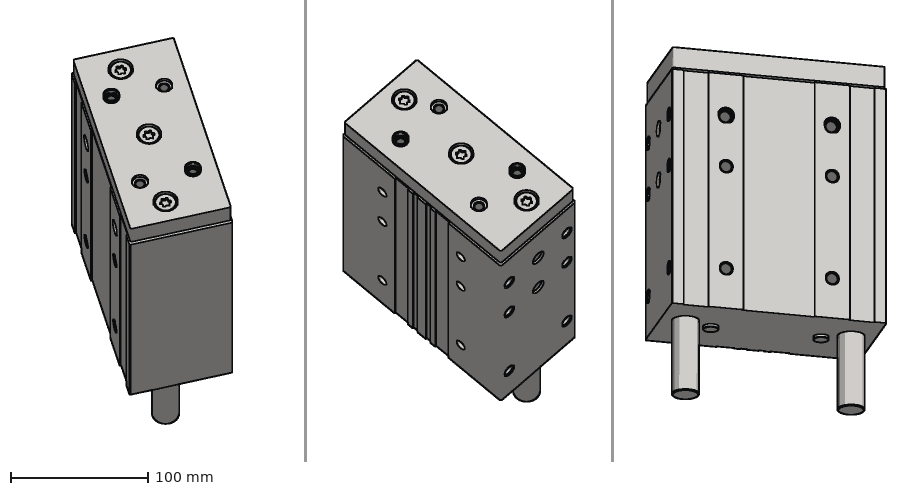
import cadquery as cq
import math


total_height = 261.3
sleeve_protrusion = 2.4
plate_thickness = 16.0
plate_gap = 1.8
rod_overhang = 58.0
plate_top = total_height - sleeve_protrusion
plate_bottom = plate_top - plate_thickness
housing_bottom = rod_overhang
housing_top = plate_bottom - plate_gap
housing_height = housing_top - housing_bottom

housing_width = 162.0
housing_depth = 78.0
housing_front = -housing_depth / 2
housing_back = housing_depth / 2
housing_left = -housing_width / 2
corner_chamfer_front = 0.8
corner_fillet_back = 1.5
groove_depth = 1.0
front_centre_groove_half = 27.0
front_rod_groove = (53.3, 71.9)
back_grooves = [(4.5, 9.0), (13.8, 27.5)]

pitch = 40.0
mount_x = pitch
top_row_drop = 32.1
top_row_z = housing_top - top_row_drop
middle_row_z = top_row_z - pitch
bottom_row_z = middle_row_z - 2 * pitch
hole_rows = [top_row_z, middle_row_z, bottom_row_z]
mount_hole_diameter = 8.4
mount_chamfer_diameter = 10.2
side_hole_y = 30.0
side_hole_depth = 19.5
drill_tip_angle = 118.0

sleeve_outer_diameter = 12.0
sleeve_inner_diameter = 10.5
sleeve_seat_depth = 2.5
sleeve_chamfer = 0.4

plate_inset = 1.0
plate_width = housing_width - 2 * plate_inset
plate_depth = housing_depth - 2 * plate_inset
plate_corner_radius = 1.3
plate_hole_x = pitch
plate_hole_y = pitch / 2
thread_diameter = 6.5
thread_chamfer_diameter = 7.8

guide_rod_diameter = 20.0
guide_rod_x = 62.5
guide_rod_y = -6.8
rod_end_chamfer = 0.8
piston_rod_diameter = 13.0
piston_rod_y = -2.4
piston_rod_insertion = housing_height / 2
guide_rod_points = [(-guide_rod_x, guide_rod_y), (guide_rod_x, guide_rod_y)]
piston_rod_point = (0, piston_rod_y)

head_pocket_diameter = 18.0
head_diameter = 16.0
head_top_diameter = 15.0
head_recess = 1.0
head_height = 6.0
socket_tip_diameter = 8.4
socket_root_diameter = 6.0
socket_depth = 2.0
socket_lobes = 6

plug_diameter = 11.5
plug_insertion = 5.2
plug_chamfer = 0.4
side_plug_recess = 2.0
bottom_plug_x = 41.5
bottom_plug_protrusion = 2.4
side_plug_rows = [top_row_z, middle_row_z]


def cylinder(diameter, length, start, direction):
    solid = cq.Solid.makeCylinder(diameter / 2, length, cq.Vector(*start), cq.Vector(*direction))
    return cq.Workplane(solid)


def cone(start_diameter, end_diameter, length, start, direction):
    radii = start_diameter / 2, end_diameter / 2
    solid = cq.Solid.makeCone(*radii, length, cq.Vector(*start), cq.Vector(*direction))
    return cq.Workplane(solid)


def offset(point, direction, distance):
    """Move a point along a direction."""
    return tuple(p + d * distance for p, d in zip(point, direction))


def chamfered_hole(diameter, chamfer_diameter, length, start, direction):
    """Hole cutter with a 45 degree entry chamfer."""
    chamfer_length = (chamfer_diameter - diameter) / 2
    entry = cone(chamfer_diameter, diameter, chamfer_length, start, direction)
    return cylinder(diameter, length, start, direction).union(entry)



def vertical_groove(x_from, x_to, face_y):
    """Cutter for a shallow groove along the full height, centred on a face of the block."""
    return (
        cq.Workplane("XY", origin=((x_from + x_to) / 2, face_y, housing_bottom))
        .rect(x_to - x_from, 2 * groove_depth)
        .extrude(housing_height)
    )


def housing_block():
    block = (
        cq.Workplane("XY", origin=(0, 0, housing_bottom))
        .rect(housing_width, housing_depth)
        .extrude(housing_height)
    )
    block = block.edges("|Z and <Y").chamfer(corner_chamfer_front)
    block = block.edges("|Z and >Y").fillet(corner_fillet_back)
    block = block.cut(vertical_groove(-front_centre_groove_half, front_centre_groove_half, housing_front))
    for side in (-1, 1):
        inner, outer = front_rod_groove
        block = block.cut(vertical_groove(*sorted((side * inner, side * outer)), housing_front))
        for inner, outer in back_grooves:
            block = block.cut(vertical_groove(*sorted((side * inner, side * outer)), housing_back))
    return block


def cut_front_holes(block):
    """Through holes from the front; the top row also has sleeve seats."""
    inward = (0, 1, 0)
    for x in (-mount_x, mount_x):
        for z in hole_rows:
            start = (x, housing_front, z)
            if z == top_row_z:
                block = block.cut(cylinder(sleeve_outer_diameter, sleeve_seat_depth, start, inward))
                start = offset(start, inward, sleeve_seat_depth)
            hole = chamfered_hole(mount_hole_diameter, mount_chamfer_diameter, housing_depth, start, inward)
            block = block.cut(hole)
    return block


def cut_side_holes(block):
    """Blind holes with drill tips on the left side."""
    inward = (1, 0, 0)
    tip_length = mount_hole_diameter / 2 / math.tan(math.radians(drill_tip_angle / 2))
    for y in (-side_hole_y, side_hole_y):
        for z in hole_rows:
            start = (housing_left, y, z)
            tip_start = offset(start, inward, side_hole_depth)
            hole = chamfered_hole(mount_hole_diameter, mount_chamfer_diameter, side_hole_depth, start, inward)
            tip = cone(mount_hole_diameter, 0, tip_length, tip_start, inward)
            block = block.cut(hole).cut(tip)
    return block


def cut_rod_bores(block):
    for x, y in guide_rod_points:
        block = block.cut(cylinder(guide_rod_diameter, housing_height, (x, y, housing_bottom), (0, 0, 1)))
    piston_start = (*piston_rod_point, housing_top)
    return block.cut(cylinder(piston_rod_diameter, piston_rod_insertion, piston_start, (0, 0, -1)))


def cut_plug_bores(block):
    for z in side_plug_rows:
        depth = side_plug_recess + plug_insertion
        block = block.cut(cylinder(plug_diameter, depth, (housing_left, 0, z), (1, 0, 0)))
    for x in (-bottom_plug_x, bottom_plug_x):
        block = block.cut(cylinder(plug_diameter, plug_insertion, (x, 0, housing_bottom), (0, 0, 1)))
    return block


def make_housing():
    block = cut_front_holes(housing_block())
    block = cut_side_holes(block)
    block = cut_rod_bores(block)
    return cut_plug_bores(block)



def yoke_plate():
    """Plate with four threaded holes, each with a sleeve seat on top."""
    plate = (
        cq.Workplane("XY", origin=(0, 0, plate_bottom))
        .rect(plate_width, plate_depth)
        .extrude(plate_thickness)
        .edges("|Z")
        .fillet(plate_corner_radius)
    )
    down = (0, 0, -1)
    for x in (-plate_hole_x, plate_hole_x):
        for y in (-plate_hole_y, plate_hole_y):
            start = (x, y, plate_top)
            thread_start = offset(start, down, sleeve_seat_depth)
            thread = chamfered_hole(thread_diameter, thread_chamfer_diameter, plate_thickness, thread_start, down)
            plate = plate.cut(cylinder(sleeve_outer_diameter, sleeve_seat_depth, start, down)).cut(thread)
    return plate


def star_socket(x, y, top):
    """Cutter for a six-lobe drive socket of alternating convex and concave arcs."""
    tip_radius = socket_tip_diameter / 2
    root_radius = socket_root_diameter / 2
    shoulder_radius = (tip_radius + root_radius) / 2
    lobe_angle = 2 * math.pi / socket_lobes
    shoulder_angle = lobe_angle / 4

    def polar(radius, angle):
        return radius * math.cos(angle), radius * math.sin(angle)

    first_tip = math.pi / 2
    star = cq.Workplane("XY", origin=(x, y, top)).moveTo(*polar(shoulder_radius, first_tip - shoulder_angle))
    for lobe in range(socket_lobes):
        tip = first_tip + lobe * lobe_angle
        root = tip + lobe_angle / 2
        star = star.threePointArc(polar(tip_radius, tip), polar(shoulder_radius, tip + shoulder_angle))
        star = star.threePointArc(polar(root_radius, root), polar(shoulder_radius, root + shoulder_angle))
    return star.close().extrude(-socket_depth)


def screw_head(x, y):
    """Recessed head with a chamfered rim and a star socket."""
    head_top = plate_top - head_recess
    rim_chamfer = (head_diameter - head_top_diameter) / 2
    head = cylinder(head_diameter, head_height, (x, y, head_top), (0, 0, -1))
    head = head.faces(">Z").chamfer(rim_chamfer)
    return head.cut(star_socket(x, y, head_top))


def make_moving_unit():
    """Plate, rods and screw heads that travel together as one piece."""
    unit = yoke_plate()
    pocket_depth = head_recess + head_height
    for x, y in [*guide_rod_points, piston_rod_point]:
        unit = unit.cut(cylinder(head_pocket_diameter, pocket_depth, (x, y, plate_top), (0, 0, -1)))
        unit = unit.union(screw_head(x, y))
    for x, y in guide_rod_points:
        rod = cylinder(guide_rod_diameter, plate_bottom, (x, y, 0), (0, 0, 1))
        unit = unit.union(rod.faces("<Z").chamfer(rod_end_chamfer))
    piston_length = plate_gap + piston_rod_insertion
    piston_start = (*piston_rod_point, plate_bottom)
    return unit.union(cylinder(piston_rod_diameter, piston_length, piston_start, (0, 0, -1)))



def make_sleeve(x, y):
    """Tube with a chamfered upper outer edge."""
    length = sleeve_seat_depth + sleeve_protrusion
    start = (x, y, plate_top - sleeve_seat_depth)
    tube = cylinder(sleeve_outer_diameter, length, start, (0, 0, 1)).faces(">Z").chamfer(sleeve_chamfer)
    return tube.cut(cylinder(sleeve_inner_diameter, length, start, (0, 0, 1)))


def make_side_plug(z):
    return cylinder(plug_diameter, plug_insertion, (housing_left + side_plug_recess, 0, z), (1, 0, 0))


def make_bottom_plug(x):
    start = (x, 0, housing_bottom - bottom_plug_protrusion)
    plug = cylinder(plug_diameter, bottom_plug_protrusion + plug_insertion, start, (0, 0, 1))
    return plug.faces("<Z").chamfer(plug_chamfer)


housing = make_housing()
moving_unit = make_moving_unit()
sleeves = [make_sleeve(side * plate_hole_x, side * plate_hole_y) for side in (-1, 1)]
side_plugs = [make_side_plug(z) for z in side_plug_rows]
bottom_plugs = [make_bottom_plug(side * bottom_plug_x) for side in (-1, 1)]

small_bodies = [body.val() for body in sleeves + side_plugs + bottom_plugs]
result = cq.Compound.makeCompound([housing.val(), moving_unit.val(), *small_bodies])